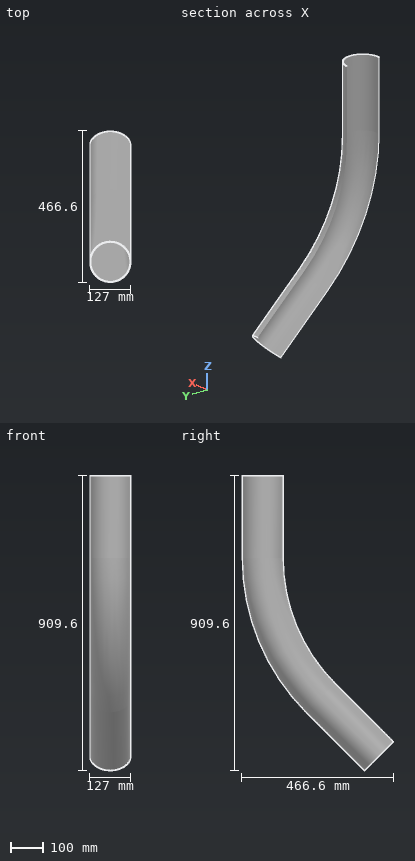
import cadquery as cq
import math

outer_diameter = 127.0
inner_diameter = 120.9
leg_length = 254.0
bend_radius = 609.6
bend_angle = 45.0


def bend_point(angle_degrees):
    """Centreline point (Y, Z) after turning from vertical towards +Y."""
    angle = math.radians(angle_degrees)
    return (
        bend_radius * (1 - math.cos(angle)),
        -bend_radius * math.sin(angle),
    )


def centreline():
    """Path in the YZ plane: vertical leg, bend, then the sloping leg."""
    bend_middle = bend_point(bend_angle / 2)
    bend_end = bend_point(bend_angle)
    slope = math.radians(bend_angle)
    lower_end = (
        bend_end[0] + leg_length * math.sin(slope),
        bend_end[1] - leg_length * math.cos(slope),
    )
    return (
        cq.Workplane("YZ")
        .moveTo(0, leg_length)
        .lineTo(0, 0)
        .threePointArc(bend_middle, bend_end)
        .lineTo(*lower_end)
    )


result = (
    cq.Workplane("XY", origin=(0, 0, leg_length))
    .circle(outer_diameter / 2)
    .circle(inner_diameter / 2)
    .sweep(centreline())
)